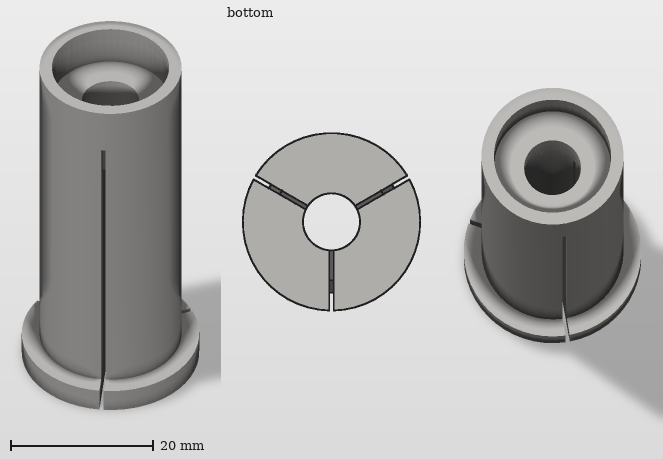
import cadquery as cq
import math

total_height = 52.9
sleeve_radius = 10.0
flange_radius = 12.5
flange_thickness = 3.5

seat_radius = 8.25
seat_floor_z = 41.0
hole_radius = 4.0

plug_top_z = 46.9

slot_count = 3
slot_width = 0.6
slot_top_z = 46.08
slot_top_slope = 35.0
first_slot_angle = 90.0


def cylinder(radius, bottom_z, top_z):
    """Cylinder about the Z axis between two heights."""
    return cq.Workplane("XY").workplane(offset=bottom_z).circle(radius).extrude(top_z - bottom_z)


def make_slot(angle):
    """Radial slot cutter from the axis out past the flange, with a top edge rising outwards."""
    slot_length = flange_radius + slot_width
    rise = math.tan(math.radians(slot_top_slope))
    slot = (
        cq.Workplane("XZ")
        .moveTo(0, 0)
        .lineTo(slot_length, 0)
        .lineTo(slot_length, slot_top_z + (slot_length - sleeve_radius) * rise)
        .lineTo(0, slot_top_z - sleeve_radius * rise)
        .close()
        .extrude(slot_width / 2, both=True)
    )
    return slot.rotate((0, 0, 0), (0, 0, 1), angle)


def make_sleeve():
    """Flanged sleeve with a stepped bore, split by slots from the bottom up."""
    sleeve = cylinder(sleeve_radius, 0, total_height)
    sleeve = sleeve.union(cylinder(flange_radius, 0, flange_thickness))
    sleeve = sleeve.cut(cylinder(seat_radius, seat_floor_z, total_height))
    sleeve = sleeve.cut(cylinder(hole_radius, 0, seat_floor_z))
    for index in range(slot_count):
        sleeve = sleeve.cut(make_slot(first_slot_angle + index * 360.0 / slot_count))
    return sleeve


def make_plug():
    """Ring-shaped plug that fills the seat and carries on the narrow hole."""
    return cylinder(seat_radius, seat_floor_z, plug_top_z).cut(
        cylinder(hole_radius, seat_floor_z, plug_top_z)
    )


sleeve = make_sleeve()
plug = make_plug()

result = cq.Compound.makeCompound([sleeve.val(), plug.val()])